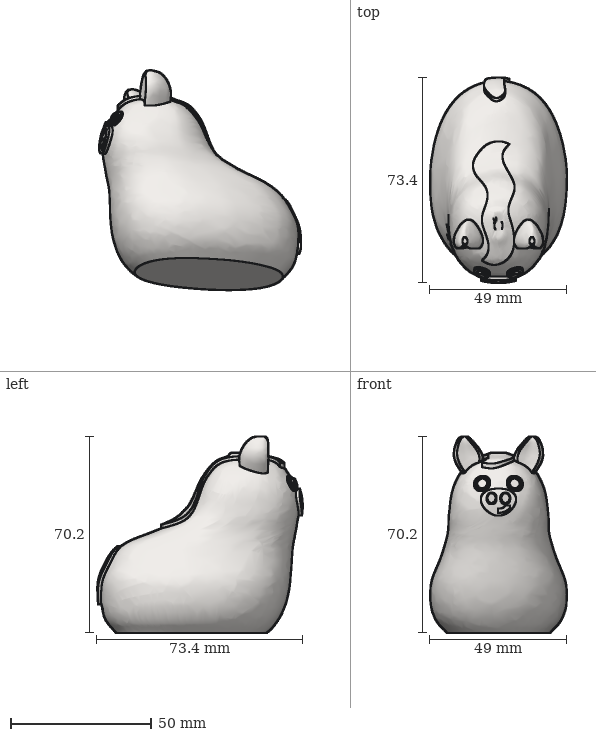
import cadquery as cq
import math

BODY_LEVELS = [
    (0.0, 18.35, -23.7, 29.9, 2.2),
    (2.9, 21.1, -26.7, 32.5, 0.7),
    (7.35, 23.55, -29.4, 34.7, -0.7),
    (13.2, 24.45, -31.4, 35.45, -2.2),
    (19.1, 23.8, -32.3, 35.2, -3.7),
    (24.95, 21.4, -32.7, 32.9, -5.9),
    (29.35, 19.8, -33.0, 30.1, -8.1),
    (32.3, 18.9, -33.4, 26.4, -10.3),
    (35.2, 18.2, -34.05, 19.45, -12.5),
    (38.15, 17.9, -34.6, 12.1, -13.95),
    (41.1, 17.8, -35.1, 6.75, -15.4),
    (45.5, 17.4, -35.5, 2.9, -16.15),
    (49.9, 16.7, -34.9, 0.9, -16.15),
    (54.3, 15.2, -33.2, -1.2, -16.15),
    (57.25, 13.5, -31.35, -3.2, -16.15),
    (59.45, 11.4, -29.8, -5.15, -16.15),
    (61.3, 8.2, -27.0, -8.1, -16.15),
    (62.5, 4.4, -22.75, -11.0, -16.15),
    (63.1, 0.9, -17.5, -14.8, -16.15),
]
SECTION_POINTS = 12
SECTION_FULLNESS = 2.25

SKIN_THICKNESS = 1.2
MANE_THICKNESS = 1.0
MANE_SPREAD = 0.6
MANE_LOWEST_LEVEL = 32.3

MANE_REAR_TIP = (3.9, 12.85)
MANE_FRONT_TIP = (-5.9, -28.55)
MANE_RIGHT_EDGE = [
    (1.55, 7.35), (4.85, 0.65), (5.8, -2.6), (4.4, -7.05), (3.5, -10.85),
    (4.6, -15.3), (5.6, -20.55), (4.6, -26.3), (1.8, -29.2),
]
MANE_LEFT_EDGE = [
    (-3.5, -24.1), (-4.4, -19.7), (-5.95, -13.95), (-3.95, -6.4), (-4.4, -2.85),
    (-8.4, 2.4), (-9.1, 5.5), (-7.05, 10.0), (-3.5, 13.1), (0.2, 13.9),
]

TAIL_TIP = (3.95, 11.4)
TAIL_TOP = (-0.9, 31.1)
TAIL_RIGHT_EDGE = [(2.05, 18.35), (2.3, 25.7), (1.9, 29.7)]
TAIL_LEFT_EDGE = [(-3.4, 29.35), (-5.15, 24.6), (-4.25, 17.6), (0.0, 10.4)]

SNOUT_HALF_WIDTH = 6.3
SNOUT_MID_Z = 47.7
SNOUT_TOP_Z = 51.6
SNOUT_BOTTOM_Z = 41.9
SNOUT_SHOULDER = (3.7, 51.1)

NOSTRIL_X = 2.5
NOSTRIL_Z = 48.2
NOSTRIL_FLOOR_HALF_WIDTH = 1.5
NOSTRIL_FLOOR_HALF_HEIGHT = 1.75
NOSTRIL_FLARE_ANGLE = 22.0
NOSTRIL_FLOOR_Y = -35.45
SMILE_FLOOR_Y = -35.5
SMILE_LEFT_X = -0.15
SMILE_RIGHT_X = 4.1
SMILE_UPPER_BEND = [(0.9, 44.55), (1.75, 44.85), (2.35, 45.6)]
SMILE_LOWER_BEND = [(SMILE_RIGHT_X, 44.55), (2.35, 43.4), (SMILE_LEFT_X, 42.9)]
FACE_CLEARANCE_Y = -37.4

EYE_CENTRE = (6.0, -33.2, 53.65)
EYE_AZIMUTH = 20.0
EYE_ELEVATION = 28.0
EYE_RADIUS = 2.9
EYE_ROOT = 2.9
PUPIL_CENTRE = (5.8, -34.2, 53.4)
PUPIL_AZIMUTH = 10.0
PUPIL_ELEVATION = 18.0
PUPIL_RADIUS = 2.05
PUPIL_ROOT = 2.2
EYE_CHAMFER = 0.2

EAR_LEVELS = [
    (55.8, 6.6, 11.15, -24.4, -14.2),
    (61.65, 6.25, 14.9, -24.4, -13.95),
    (64.6, 6.75, 15.35, -24.4, -14.4),
    (67.5, 8.8, 14.75, -24.4, -16.0),
    (69.7, 10.65, 13.65, -23.8, -18.5),
    (70.2, 11.15, 12.8, -22.9, -20.2),
]
EAR_HOLLOW_RATIO = 0.16
EAR_RIM = 0.6
EAR_BACK_STEPS = 4

MANE_PLANE_Z = 33.0
MANE_REACH = 36.7
TAIL_PLANE_Y = 44.0
TAIL_REACH = 22.0
SNOUT_PLANE_Y = -29.35
SNOUT_REACH = 11.0


def squared_off(ratio):
    """Sine or cosine of an ellipse turned into that of a fuller superellipse."""
    return math.copysign(abs(ratio) ** (2 / SECTION_FULLNESS), ratio)


def body_loft(grow=0.0, lift=0.0, lowest=0.0):
    """Body with every section widened by `grow` and raised by `lift`, from the level `lowest` up."""
    sections = []
    for z, half_width, front, rear, middle in BODY_LEVELS:
        if z < lowest:
            continue
        points = []
        for i in range(SECTION_POINTS):
            angle = 2 * math.pi * i / SECTION_POINTS
            reach = (rear - middle if math.sin(angle) > 0 else middle - front) + grow
            points.append(cq.Vector(
                (half_width + grow) * squared_off(math.cos(angle)),
                middle + reach * squared_off(math.sin(angle)),
                z + lift,
            ))
        sections.append(cq.Wire.assembleEdges([cq.Edge.makeSpline(points, periodic=True)]))
    return cq.Workplane(obj=cq.Solid.makeLoft(sections))


def mane(raised_body):
    """Wavy strip over the crown and down the neck."""
    outline = (
        cq.Workplane("XY").workplane(offset=MANE_PLANE_Z)
        .moveTo(*MANE_REAR_TIP)
        .spline(MANE_RIGHT_EDGE + [MANE_FRONT_TIP], includeCurrent=True)
        .spline(MANE_LEFT_EDGE + [MANE_REAR_TIP], includeCurrent=True)
        .close()
    )
    return outline.extrude(MANE_REACH).intersect(raised_body)


def tail(raised_body):
    """Curled tail lying on the rump."""
    outline = (
        cq.Workplane("XZ").workplane(offset=-TAIL_PLANE_Y)
        .moveTo(*TAIL_TIP)
        .spline(TAIL_RIGHT_EDGE + [TAIL_TOP] + TAIL_LEFT_EDGE + [TAIL_TIP], includeCurrent=True)
        .close()
    )
    return outline.extrude(TAIL_REACH).intersect(raised_body)


def snout(raised_body):
    """Rounded plate on the front of the head."""
    shoulder_x, shoulder_z = SNOUT_SHOULDER
    lower_edge = [
        (SNOUT_HALF_WIDTH, SNOUT_MID_Z),
        (0, SNOUT_BOTTOM_Z),
        (-SNOUT_HALF_WIDTH, SNOUT_MID_Z),
        (-shoulder_x, shoulder_z),
    ]
    outline = (
        cq.Workplane("XZ").workplane(offset=-SNOUT_PLANE_Y)
        .moveTo(-shoulder_x, shoulder_z)
        .threePointArc((0, SNOUT_TOP_Z), (shoulder_x, shoulder_z))
        .spline(lower_edge, includeCurrent=True)
        .close()
    )
    return outline.extrude(SNOUT_REACH).intersect(raised_body)


def nostril(side):
    """Oval pocket that flares out from its floor."""
    return (
        cq.Workplane("XZ").workplane(offset=-NOSTRIL_FLOOR_Y)
        .center(side * NOSTRIL_X, NOSTRIL_Z)
        .ellipse(NOSTRIL_FLOOR_HALF_WIDTH, NOSTRIL_FLOOR_HALF_HEIGHT)
        .extrude(NOSTRIL_FLOOR_Y - FACE_CLEARANCE_Y, taper=-NOSTRIL_FLARE_ANGLE)
    )


def smile():
    """Crooked groove in the lower right of the snout."""
    bend_start, bend_middle, bend_end = SMILE_UPPER_BEND
    lower_start, lower_middle, lower_end = SMILE_LOWER_BEND
    return (
        cq.Workplane("XZ").workplane(offset=-SMILE_FLOOR_Y)
        .moveTo(SMILE_LEFT_X, bend_start[1])
        .lineTo(*bend_start)
        .threePointArc(bend_middle, bend_end)
        .lineTo(SMILE_RIGHT_X, bend_end[1])
        .lineTo(*lower_start)
        .threePointArc(lower_middle, lower_end)
        .close()
        .extrude(SMILE_FLOOR_Y - FACE_CLEARANCE_Y)
    )


def disc(side, centre, azimuth, elevation, radius, root):
    """Chamfered disc with its outer face at `centre`, turned outward and tilted up."""
    turn = math.radians(azimuth)
    tilt = math.radians(elevation)
    x, y, z = centre
    plane = cq.Plane(
        origin=(side * x, y, z),
        xDir=(math.cos(turn), side * math.sin(turn), 0),
        normal=(
            side * math.cos(tilt) * math.sin(turn),
            -math.cos(tilt) * math.cos(turn),
            math.sin(tilt),
        ),
    )
    return cq.Workplane(plane).circle(radius).extrude(-root).faces("<Y").edges().chamfer(EYE_CHAMFER)


def eye(side):
    white = disc(side, EYE_CENTRE, EYE_AZIMUTH, EYE_ELEVATION, EYE_RADIUS, EYE_ROOT)
    pupil = disc(side, PUPIL_CENTRE, PUPIL_AZIMUTH, PUPIL_ELEVATION, PUPIL_RADIUS, PUPIL_ROOT)
    return white.union(pupil)


def ear():
    """Ear on the +X side."""
    sections = []
    for z, inner, outer, front, rear in EAR_LEVELS:
        middle = (inner + outer) / 2
        half = (outer - inner) / 2
        depth = rear - front - EAR_RIM
        inner_rim = cq.Vector(inner + EAR_RIM, front, z)
        outer_rim = cq.Vector(outer - EAR_RIM, front, z)
        back_points = [outer_rim]
        for i in range(EAR_BACK_STEPS + 1):
            angle = math.pi * i / EAR_BACK_STEPS
            back_points.append(cq.Vector(
                middle + half * squared_off(math.cos(angle)),
                front + EAR_RIM + depth * squared_off(math.sin(angle)),
                z,
            ))
        back_points.append(inner_rim)
        hollow = cq.Vector(middle, front + EAR_HOLLOW_RATIO * half, z)
        back_edge = cq.Edge.makeSpline(back_points)
        front_edge = cq.Edge.makeThreePointArc(inner_rim, hollow, outer_rim)
        sections.append(cq.Wire.assembleEdges([back_edge, front_edge]))
    return cq.Workplane(obj=cq.Solid.makeLoft(sections))


right_ear = ear()
raised_body = body_loft(grow=SKIN_THICKNESS)
mane_body = body_loft(grow=MANE_SPREAD, lift=MANE_THICKNESS, lowest=MANE_LOWEST_LEVEL)

result = body_loft().union(right_ear).union(right_ear.mirror("YZ"))
result = result.union(tail(raised_body)).union(snout(raised_body)).union(mane(mane_body))
for side in (-1, 1):
    result = result.union(eye(side)).cut(nostril(side))
result = result.cut(smile())